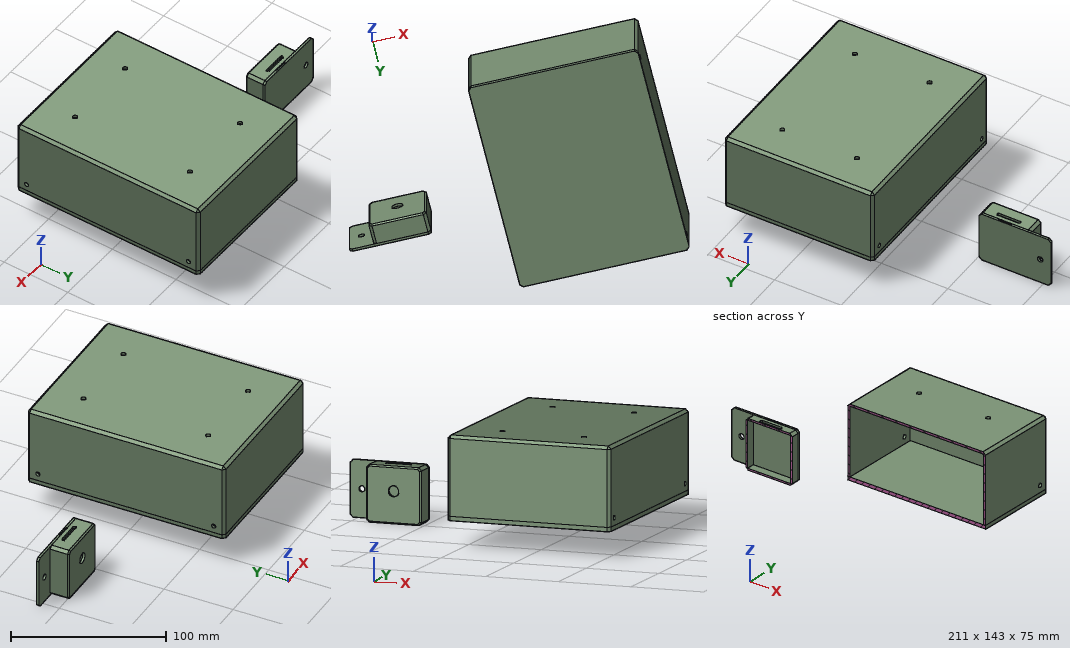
import cadquery as cq

BOX_X = 112.3
BOX_Y = 143.0
BOX_Z = 56.0
BASE_THICKNESS = 3.0
COVER_WALL = 2.0
CHAMFER = 2.0
TOP_HOLE_DIAMETER = 3.2
TOP_HOLE_SPACING_X = 56.1
TOP_HOLE_SPACING_Y = 90.3
SIDE_HOLE_DIAMETER = 3.0
SIDE_HOLE_SPACING = 127.3
SIDE_HOLE_Z = 8.0

OVERALL_X = 211.0
OVERALL_Z = 75.0
PLATE_X = 54.0
CASE_SIZE = 38.0
PLATE_THICKNESS = 1.7
CASE_DEPTH = 13.5
CASE_WALL = 1.7
CASE_FRONT_CHAMFER = 1.0
PLATE_BACK_Y = 13.7
EAR_HOLE_DIAMETER = 4.0
EAR_HOLE_INSET = 8.0
BUTTON_HOLE_DIAMETER = 7.2
BUTTON_HOLE_RISE = 2.5
SOCKET_WIDTH = 17.3
SOCKET_HEIGHT = 2.1
SOCKET_CORNER = 0.8
SOCKET_GAP = 2.7
NOTCH_WIDTH = 10.0
NOTCH_DEPTH = 0.6

PLATE_LEFT = BOX_X / 2 - OVERALL_X
PLATE_RIGHT = PLATE_LEFT + PLATE_X
PLATE_FRONT_Y = PLATE_BACK_Y - PLATE_THICKNESS
CASE_FRONT_Y = PLATE_FRONT_Y - CASE_DEPTH
CASE_CENTER_X = PLATE_RIGHT - CASE_SIZE / 2
MODULE_BOTTOM = BOX_Z - OVERALL_Z
MODULE_TOP = MODULE_BOTTOM + CASE_SIZE
MODULE_CENTER_Z = MODULE_BOTTOM + CASE_SIZE / 2


def block(x_range, y_range, z_range):
    """Box spanning the given (low, high) range along each axis."""
    sizes = [high - low for low, high in (x_range, y_range, z_range)]
    corner = (x_range[0], y_range[0], z_range[0])
    return cq.Workplane("XY").box(*sizes, centered=False).translate(corner)


def cylinder_along_y(diameter, x, z, y_start, length):
    """Cylinder running toward +Y from y_start."""
    circle = cq.Workplane("XZ", origin=(x, y_start, z)).circle(diameter / 2)
    return circle.extrude(-length)


def make_base():
    base = cq.Workplane("XY").rect(BOX_X, BOX_Y).extrude(BASE_THICKNESS)
    return base.edges("|Z").chamfer(CHAMFER)


def make_cover():
    height = BOX_Z - BASE_THICKNESS
    cover = cq.Workplane("XY").workplane(offset=BASE_THICKNESS).rect(BOX_X, BOX_Y).extrude(height)
    cover = cover.edges("|Z or >Z").chamfer(CHAMFER)

    cavity = (
        cq.Workplane("XY")
        .workplane(offset=BASE_THICKNESS)
        .rect(BOX_X - 2 * COVER_WALL, BOX_Y - 2 * COVER_WALL)
        .extrude(height - COVER_WALL)
    )
    cover = cover.cut(cavity)

    top_holes = (
        cq.Workplane("XY")
        .workplane(offset=BOX_Z - COVER_WALL)
        .rect(TOP_HOLE_SPACING_X, TOP_HOLE_SPACING_Y, forConstruction=True)
        .vertices()
        .circle(TOP_HOLE_DIAMETER / 2)
        .extrude(COVER_WALL)
    )

    side_holes = (
        cq.Workplane("YZ")
        .pushPoints([(side * SIDE_HOLE_SPACING / 2, SIDE_HOLE_Z) for side in (-1, 1)])
        .circle(SIDE_HOLE_DIAMETER / 2)
        .extrude(BOX_X / 2, both=True)
    )
    return cover.cut(top_holes).cut(side_holes)


def make_plate():
    plate = block(
        (PLATE_LEFT, PLATE_RIGHT),
        (PLATE_FRONT_Y, PLATE_BACK_Y),
        (MODULE_BOTTOM, MODULE_TOP),
    )
    plate = plate.edges("|Y").chamfer(CHAMFER)
    ear_hole = cylinder_along_y(
        EAR_HOLE_DIAMETER, PLATE_LEFT + EAR_HOLE_INSET, MODULE_CENTER_Z, PLATE_FRONT_Y, PLATE_THICKNESS
    )

    notch = block(
        (CASE_CENTER_X - NOTCH_WIDTH / 2, CASE_CENTER_X + NOTCH_WIDTH / 2),
        (PLATE_FRONT_Y, PLATE_FRONT_Y + NOTCH_DEPTH),
        (MODULE_TOP - CASE_WALL, MODULE_TOP),
    )
    return plate.cut(ear_hole).cut(notch)


def make_case():
    case = block(
        (PLATE_RIGHT - CASE_SIZE, PLATE_RIGHT),
        (CASE_FRONT_Y, PLATE_FRONT_Y),
        (MODULE_BOTTOM, MODULE_TOP),
    )
    case = case.edges("|Y").chamfer(CHAMFER)
    case = case.faces("<Y").edges().chamfer(CASE_FRONT_CHAMFER)

    cavity = block(
        (PLATE_RIGHT - CASE_SIZE + CASE_WALL, PLATE_RIGHT - CASE_WALL),
        (CASE_FRONT_Y + CASE_WALL, PLATE_FRONT_Y),
        (MODULE_BOTTOM + CASE_WALL, MODULE_TOP - CASE_WALL),
    )
    button_hole = cylinder_along_y(
        BUTTON_HOLE_DIAMETER, CASE_CENTER_X, MODULE_CENTER_Z + BUTTON_HOLE_RISE, CASE_FRONT_Y, CASE_WALL
    )

    socket_back = PLATE_FRONT_Y - SOCKET_GAP
    socket = block(
        (CASE_CENTER_X - SOCKET_WIDTH / 2, CASE_CENTER_X + SOCKET_WIDTH / 2),
        (socket_back - SOCKET_HEIGHT, socket_back),
        (MODULE_TOP - CASE_WALL, MODULE_TOP),
    )
    socket = socket.edges("|Z and >Y").chamfer(SOCKET_CORNER)
    return case.cut(cavity).cut(button_hole).cut(socket)


base = make_base()
cover = make_cover()
plate = make_plate()
case = make_case()

result = cq.Compound.makeCompound([base.val(), cover.val(), plate.val(), case.val()])